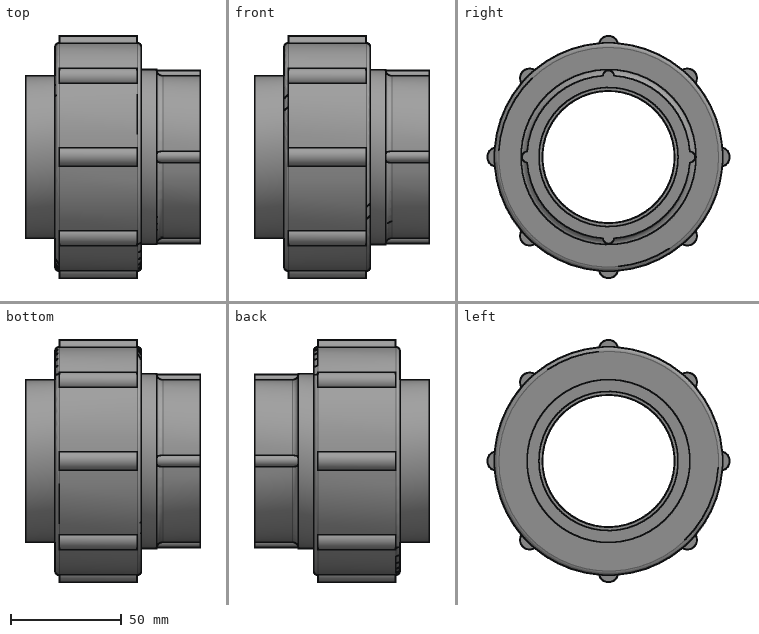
import cadquery as cq
import math

total_length = 79.0
nut_start = 13.3
nut_end = 52.4
neck_end = 59.2
left_socket_depth = 28.9
right_socket_depth = 38.8

pipe_radius = 36.8
nut_radius = 51.6
neck_radius = 39.6
socket_radius = 31.5
bore_radius = 29.8
nut_edge_radius = 2.0
neck_fillet_radius = neck_radius - pipe_radius

nut_rib_count = 8
nut_rib_tip_radius = 54.8
nut_rib_radius = 4.4

pipe_rib_count = 4
pipe_rib_tip_radius = 39.1
pipe_rib_radius = 2.5


def cylinder(radius, start, end):
    """Solid cylinder along X between two positions."""
    return cq.Workplane("YZ", origin=(start, 0, 0)).circle(radius).extrude(end - start)


def rib_ring(count, tip_radius, rib_radius, start, end):
    """Equally spaced round ribs along X, touching the given tip radius."""
    return (
        cq.Workplane("YZ", origin=(start, 0, 0))
        .polarArray(tip_radius - rib_radius, 0, 360, count)
        .circle(rib_radius)
        .extrude(end - start)
    )


def neck_fillet():
    """Concave ring easing the neck shoulder down to the pipe surface."""
    fillet_end = neck_end + neck_fillet_radius
    arc_offset = neck_fillet_radius * (1 - math.sqrt(0.5))
    return (
        cq.Workplane("XY")
        .moveTo(neck_end, bore_radius)
        .lineTo(neck_end, neck_radius)
        .threePointArc(
            (neck_end + arc_offset, pipe_radius + arc_offset),
            (fillet_end, pipe_radius),
        )
        .lineTo(fillet_end, bore_radius)
        .close()
        .revolve(360, (0, 0, 0), (1, 0, 0))
    )


body = cylinder(pipe_radius, 0, total_length)
body = body.union(cylinder(neck_radius, nut_start, neck_end))
body = body.union(neck_fillet())
nut = cylinder(nut_radius, nut_start, nut_end).edges().fillet(nut_edge_radius)
body = body.union(nut)

nut_ribs = rib_ring(
    nut_rib_count,
    nut_rib_tip_radius,
    nut_rib_radius,
    nut_start + nut_edge_radius,
    nut_end - nut_edge_radius,
)
pipe_ribs = rib_ring(pipe_rib_count, pipe_rib_tip_radius, pipe_rib_radius, neck_end, total_length)
body = body.union(nut_ribs).union(pipe_ribs)

body = body.cut(cylinder(bore_radius, 0, total_length))
body = body.cut(cylinder(socket_radius, 0, left_socket_depth))
result = body.cut(cylinder(socket_radius, total_length - right_socket_depth, total_length))